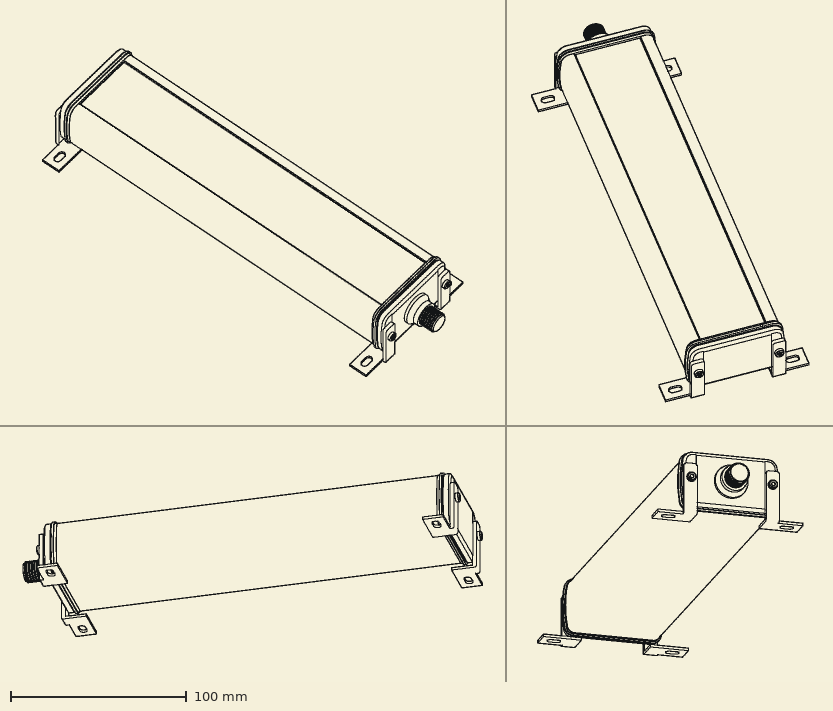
import cadquery as cq
import math

mid_x = 124.3
leg_outer_x = 2.0
leg_thickness = 2.4
seat_depth = 0.3
seat_x = leg_outer_x + leg_thickness
cap_end_x = seat_x - seat_depth
gap_start_x = 8.7
ring_start_x = 9.5
ring_end_x = 10.8
body_start_x = 12.3
end_length = body_start_x - cap_end_x
body_length = 2 * (mid_x - body_start_x)

bottom_z = 5.5
top_z = 38.0
axis_z = (bottom_z + top_z) / 2
corner_half_width = 27.0
middle_half_width = 28.9
top_corner_radius = 5.8
bottom_corner_radius = 4.5
gap_depth = 0.5
ring_overhang = 0.8
body_inset = 0.3
body_top_z = top_z - body_inset
cap_bevel_depth = 1.3
cap_bevel_width = 2.0

flute_count = 8
flute_top_z = 34.0
flute_bottom_z = 9.7
flute_depth = 0.1

window_width = 40.0
window_depth = 0.5
frame_width = 0.5
frame_depth = 0.8

leg_inner_y = 20.5
leg_outer_y = 28.3
leg_top_z = 30.2
leg_corner_radius = 1.5
bend_radius = 1.3
foot_thickness = 1.5
foot_start_x = 4.7
foot_end_x = 16.8
foot_outer_y = 43.0
slot_length = 8.0
slot_width = 4.2
slot_y = 35.2

screw_y = 24.1
screw_radius = 2.5
screw_edge = 0.5
socket_size = 2.4
socket_depth = 0.8

flange_radius = 9.7
collar_radius = 7.5
barrel_radius = 6.0
tip_radius = 5.2
flange_end_x = 246.3
cone_end_x = 249.5
collar_end_x = 252.5
barrel_end_x = 261.3
tip_end_x = 262.3
thread_count = 5
thread_pitch = 1.5
thread_depth = 0.5
thread_width = 0.8


def housing_section(start_x, length, offset=0.0):
    """Housing outline, grown outward by offset and extruded along X."""
    corner_y = corner_half_width + offset
    middle_y = middle_half_width + offset
    low_z = bottom_z - offset
    high_z = top_z + offset
    block = (
        cq.Workplane("YZ", origin=(start_x, 0, 0))
        .moveTo(-corner_y, low_z)
        .lineTo(corner_y, low_z)
        .threePointArc((middle_y, axis_z), (corner_y, high_z))
        .lineTo(-corner_y, high_z)
        .threePointArc((-middle_y, axis_z), (-corner_y, low_z))
        .close()
        .extrude(length)
    )
    block = block.edges("|X and >Z").fillet(top_corner_radius + offset)
    return block.edges("|X and <Z").fillet(bottom_corner_radius + offset)


def mirrored_x(shape):
    return shape.mirror("YZ", (mid_x, 0, 0))


def mirrored_y(shape):
    return shape.mirror("XZ")


def make_gap():
    """Band of material removed all around between the left cap and its ring."""
    length = ring_start_x - gap_start_x
    band = housing_section(gap_start_x, length, ring_overhang)
    return band.cut(housing_section(gap_start_x, length, -gap_depth))


def side_half_width(z):
    """Half width of the bowed body side at height z."""
    bow = middle_half_width - corner_half_width
    half_height = (top_z - bottom_z) / 2
    radius = (half_height**2 + bow**2) / (2 * bow)
    return middle_half_width - body_inset - radius + math.sqrt(radius**2 - (z - axis_z) ** 2)


def cut_flutes(body):
    """Scallop both sides with arcs whose ends lie on the bowed outline."""
    pitch = (flute_top_z - flute_bottom_z) / flute_count
    outside_y = middle_half_width + ring_overhang
    cutter = (
        cq.Workplane("YZ", origin=(body_start_x, 0, 0))
        .moveTo(outside_y, flute_top_z)
        .lineTo(side_half_width(flute_top_z), flute_top_z)
    )
    for index in range(flute_count):
        upper_z = flute_top_z - index * pitch
        lower_z = upper_z - pitch
        upper_y = side_half_width(upper_z)
        lower_y = side_half_width(lower_z)
        deepest = ((upper_y + lower_y) / 2 - flute_depth, (upper_z + lower_z) / 2)
        cutter = cutter.threePointArc(deepest, (lower_y, lower_z))
    cutter = cutter.lineTo(outside_y, flute_bottom_z).close().extrude(body_length)
    return body.cut(cutter).cut(mirrored_y(cutter))


def cut_window(body):
    top_plane = cq.Workplane("XY", origin=(mid_x, 0, body_top_z))
    recess = top_plane.rect(body_length, window_width).extrude(-window_depth)
    frame = (
        top_plane.rect(body_length, window_width)
        .rect(body_length - 2 * frame_width, window_width - 2 * frame_width)
        .extrude(-window_depth - frame_depth)
    )
    return body.cut(recess).cut(frame)


def make_body():
    """Fluted middle length with the window, slightly smaller than its ends."""
    body = housing_section(body_start_x, body_length, -body_inset)
    return cut_window(cut_flutes(body))


def make_end():
    """Left cap with bevelled rim, leg seats, gap and raised ring."""
    end = housing_section(cap_end_x, end_length)
    end = end.faces("<X").chamfer(cap_bevel_depth, cap_bevel_width)
    seat = cq.Workplane("XY").box(
        seat_depth, middle_half_width, top_z, centered=False
    ).translate((cap_end_x, leg_inner_y, 0))
    end = end.cut(seat).cut(mirrored_y(seat)).cut(make_gap())
    return end.union(housing_section(ring_start_x, ring_end_x - ring_start_x, ring_overhang))


def make_bracket():
    """Left bracket on the +Y side with its screw head."""
    leg_width = leg_outer_y - leg_inner_y
    leg = cq.Workplane("XY").box(leg_thickness, leg_width, leg_top_z, centered=False)
    leg = leg.translate((leg_outer_x, leg_inner_y, 0))
    leg = leg.edges("|X and >Z").fillet(leg_corner_radius)
    base = cq.Workplane("XY").box(
        foot_end_x - leg_outer_x, leg_width, foot_thickness, centered=False
    ).translate((leg_outer_x, leg_inner_y, 0))
    bracket = leg.union(base).edges("|Y and <X and <Z").fillet(bend_radius)

    foot = cq.Workplane("XY").box(
        foot_end_x - foot_start_x, foot_outer_y - leg_inner_y, foot_thickness, centered=False
    ).translate((foot_start_x, leg_inner_y, 0))
    slot_x = (foot_start_x + foot_end_x) / 2
    slot = (
        cq.Workplane("XY", origin=(slot_x, slot_y, 0))
        .slot2D(slot_length, slot_width, 90)
        .extrude(foot_thickness)
    )
    screw = (
        cq.Workplane("YZ", origin=(0, screw_y, axis_z))
        .circle(screw_radius)
        .extrude(leg_outer_x)
        .faces("<X")
        .chamfer(screw_edge)
        .faces("<X")
        .workplane()
        .polygon(6, socket_size)
        .cutBlind(-socket_depth)
    )
    return bracket.union(foot).cut(slot).union(screw)


def make_connector():
    """Turned connector about the housing axis, with a threaded barrel."""
    start_x = 2 * mid_x - seat_x
    profile = (
        cq.Workplane("XZ", origin=(0, 0, axis_z))
        .moveTo(start_x, 0)
        .lineTo(start_x, flange_radius)
        .lineTo(flange_end_x, flange_radius)
        .lineTo(cone_end_x, collar_radius)
        .lineTo(collar_end_x, collar_radius)
        .lineTo(collar_end_x, barrel_radius)
    )
    for index in range(thread_count):
        groove_x = collar_end_x + thread_width + index * thread_pitch
        root_radius = barrel_radius - thread_depth
        profile = (
            profile.lineTo(groove_x, barrel_radius)
            .lineTo(groove_x + thread_width / 2, root_radius)
            .lineTo(groove_x + thread_width, barrel_radius)
        )
    profile = (
        profile.lineTo(barrel_end_x, barrel_radius)
        .lineTo(barrel_end_x, tip_radius)
        .lineTo(tip_end_x, tip_radius)
        .lineTo(tip_end_x, 0)
        .close()
    )
    return profile.revolve(360, (0, 0, 0), (1, 0, 0))


left_brackets = make_bracket()
left_brackets = left_brackets.union(mirrored_y(left_brackets))
left_end = make_end().union(left_brackets)

result = make_body().union(left_end).union(mirrored_x(left_end)).union(make_connector())